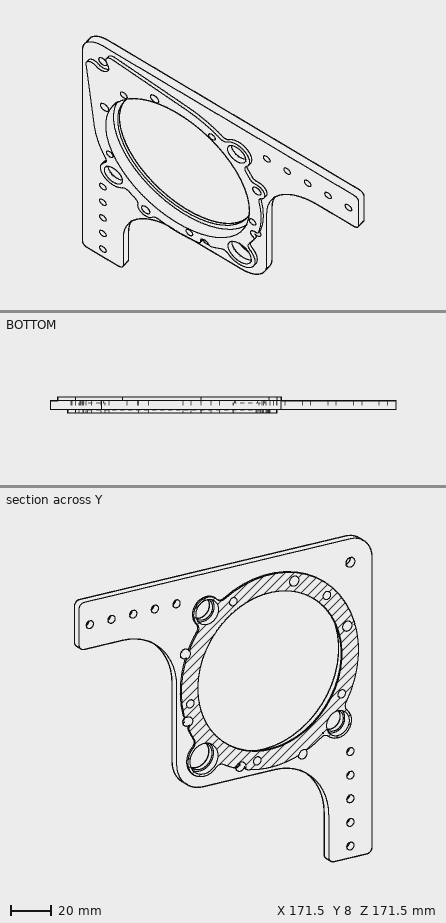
import cadquery as cq
import math


ARM_LENGTH = 171.5
TOTAL_THICKNESS = 8.0
PLATE_THICKNESS = 4.5
PAD_HEIGHT = (TOTAL_THICKNESS - PLATE_THICKNESS) / 2
ARM_WIDTH = 25.4
BODY_SIZE = 114.4
INNER_RADIUS = 31.5
TIP_RADIUS = 3.1
LUG_CORNER_RADIUS = 15.5

BORE_CENTER = 60.4
BORE_RADIUS = 42.0
COUNTERBORE_RADIUS = 44.5
BORE_LEDGE = 1.5

ROW_COUNT = 5
ROW_PITCH = ARM_WIDTH / 2
ROW_END_MARGIN = ROW_PITCH / 2
SMALL_HOLE_RADIUS = 2.0

RING_COUNT = 5
RING_RADIUS = 47.1
RING_START_ANGLE = 135.0

SCREW_RADIUS = 2.5
CORNER_SCREW = (ARM_WIDTH / 2, -ARM_WIDTH / 2)
SIDE_SCREW = (46.1, -15.1)
LUG_SCREW = (109.5, -40.6)
RIM_SCREW = (108.2, -77.2)
DOWEL_RADIUS = 5.7
DOWEL = (97.0, -20.5)
PIVOT_RADIUS = 7.2
PIVOT = (BODY_SIZE - LUG_CORNER_RADIUS, LUG_CORNER_RADIUS - BODY_SIZE)
NARROW_DEPTH = 3.1
REAR_WIDENING = 0.9

DISC_RADIUS = 52.0
LUG_WALL = 2.4
LUG_BLEND = 3.5
RELIEF_BLEND = 1.7
CORNER_RELIEF_RADIUS = SCREW_RADIUS + LUG_WALL
HORN_RADIUS = 3.8
HORN_ANGLE = 37.5


def round_at(point, radius):
    return (point[0], point[1], radius)


def mirrored(item):
    """Mirror a point or a round across the symmetry line z = -x."""
    return (-item[1], -item[0]) + tuple(item[2:])


def common_tangent(first, second):
    """Points where the outline leaves the first round and enters the second."""
    dx = second[0] - first[0]
    dz = second[1] - first[1]
    cosine = (first[2] - second[2]) / math.hypot(dx, dz)
    angle = math.atan2(dz, dx) + math.acos(max(-1.0, min(1.0, cosine)))
    return [(x + r * math.cos(angle), z + r * math.sin(angle)) for x, z, r in (first, second)]


def arc_middle(circle, start, end):
    """Middle of the outline's arc on a round, clockwise on bulges and counterclockwise on hollows."""
    x, z, r = circle
    start_angle = math.atan2(start[1] - z, start[0] - x)
    end_angle = math.atan2(end[1] - z, end[0] - x)
    turn = math.copysign(1.0, -r)
    sweep = (turn * (end_angle - start_angle)) % (2 * math.pi)
    angle = start_angle + turn * sweep / 2
    return (x + abs(r) * math.cos(angle), z + abs(r) * math.sin(angle))


def outline_prism(rounds, front_y, depth):
    """Solid with the outline of the rounds, from front_y backward by depth."""
    touching = 1.71e-06
    followers = rounds[1:] + rounds[:1]
    joints = [common_tangent(a, b) for a, b in zip(rounds, followers)]
    point = joints[-1][1]
    sketch = cq.Workplane("XZ", origin=(0, front_y, 0)).moveTo(*point)
    for circle, (leave, enter) in zip(rounds, joints):
        sketch = sketch.threePointArc(arc_middle(circle, point, leave), leave)
        if math.dist(leave, enter) > touching:
            sketch = sketch.lineTo(*enter)
        point = enter
    return sketch.close().extrude(-depth)


def blend(first, second, radius):
    """Round of the given signed radius that touches two rounds on the outer side of the step."""
    dx = second[0] - first[0]
    dz = second[1] - first[1]
    gap = math.hypot(dx, dz)
    reach = abs(first[2] - radius)
    other_reach = abs(second[2] - radius)
    turn = math.acos((gap**2 + reach**2 - other_reach**2) / (2 * gap * reach))
    angle = math.atan2(dz, dx) + turn
    return (first[0] + reach * math.cos(angle), first[1] + reach * math.sin(angle), radius)


DISC = (BORE_CENTER, -BORE_CENTER, DISC_RADIUS)
DOWEL_LUG = round_at(DOWEL, DOWEL_RADIUS + LUG_WALL)
RIM_RELIEF = round_at(RIM_SCREW, -SCREW_RADIUS)


def rim_feature(feature):
    """Rounds that lead from the disc around a lug or a hole relief and back onto the disc."""
    radius = -LUG_BLEND if feature[2] > 0 else RELIEF_BLEND
    return [blend(DISC, feature, radius), feature, blend(feature, DISC, radius), DISC]


def rim(half_features):
    """Rounds along the disc's rim: features down one side, the pivot lug, then the mirrored side."""
    pivot_lug = round_at(PIVOT, PIVOT_RADIUS + LUG_WALL)
    others = [mirrored(feature) for feature in reversed(half_features)]
    rounds = []
    for feature in half_features + [pivot_lug] + others:
        rounds += rim_feature(feature)
    return rounds


def plate():
    half_width = ARM_WIDTH / 2
    hollow = (BODY_SIZE + INNER_RADIUS, -ARM_WIDTH - INNER_RADIUS, -INNER_RADIUS)
    arm = [
        (ARM_LENGTH - TIP_RADIUS, -TIP_RADIUS, TIP_RADIUS),
        (ARM_LENGTH - TIP_RADIUS, TIP_RADIUS - ARM_WIDTH, TIP_RADIUS),
        hollow,
    ]
    outer_corner = (half_width, -half_width, half_width)
    pivot_corner = round_at(PIVOT, LUG_CORNER_RADIUS)
    other_arm = [mirrored(circle) for circle in reversed(arm)]
    return outline_prism([outer_corner] + arm + [pivot_corner] + other_arm, 0, PLATE_THICKNESS)


def front_pad():
    """Disc with two horns that reach toward the outer corner and pass around its screw hole."""
    reach = CORNER_RELIEF_RADIUS + HORN_RADIUS
    angle = math.radians(HORN_ANGLE)
    horn = (
        CORNER_SCREW[0] + reach * math.cos(angle),
        CORNER_SCREW[1] + reach * math.sin(angle),
        HORN_RADIUS,
    )
    screw_lug = round_at(LUG_SCREW, SCREW_RADIUS + LUG_WALL)
    corner_relief = round_at(CORNER_SCREW, -CORNER_RELIEF_RADIUS)
    rounds = [horn, DISC] + rim([DOWEL_LUG, screw_lug, RIM_RELIEF]) + [mirrored(horn), corner_relief]
    return outline_prism(rounds, -PAD_HEIGHT, PAD_HEIGHT)


def back_pad():
    lug_screw_relief = round_at(LUG_SCREW, -SCREW_RADIUS)
    rounds = rim([DOWEL_LUG, lug_screw_relief, RIM_RELIEF])
    return outline_prism(rounds, PLATE_THICKNESS, PAD_HEIGHT)


def drill(points, radius, start=0.0, end=TOTAL_THICKNESS):
    """Round cutters between two depths measured from the front of the front pad."""
    plane = cq.Workplane("XZ", origin=(0, start - PAD_HEIGHT, 0))
    return plane.pushPoints(points).circle(radius).extrude(start - end)


def stepped_holes(points, radius):
    """Through cutters that widen toward the back."""
    wide_end = drill(points, radius + REAR_WIDENING, start=NARROW_DEPTH)
    return drill(points, radius).union(wide_end)


def row_points():
    first = ARM_LENGTH - ROW_END_MARGIN - (ROW_COUNT - 1) * ROW_PITCH
    return [(first + i * ROW_PITCH, -ARM_WIDTH / 2) for i in range(ROW_COUNT)]


def ring_points():
    angles = [math.radians(RING_START_ANGLE + i * 360 / RING_COUNT) for i in range(RING_COUNT)]
    return [
        (BORE_CENTER + RING_RADIUS * math.cos(a), -BORE_CENTER + RING_RADIUS * math.sin(a)) for a in angles
    ]


def with_mirror(points):
    return points + [mirrored(point) for point in points]


bore_center = [(BORE_CENTER, -BORE_CENTER)]
result = plate().union(front_pad()).union(back_pad())
result = result.cut(drill(bore_center, BORE_RADIUS))
result = result.cut(drill(bore_center, COUNTERBORE_RADIUS, end=TOTAL_THICKNESS - BORE_LEDGE))
result = result.cut(drill(with_mirror(row_points()) + ring_points(), SMALL_HOLE_RADIUS))
result = result.cut(drill([CORNER_SCREW] + with_mirror([SIDE_SCREW, LUG_SCREW, RIM_SCREW]), SCREW_RADIUS))
result = result.cut(stepped_holes(with_mirror([DOWEL]), DOWEL_RADIUS))
result = result.cut(stepped_holes([PIVOT], PIVOT_RADIUS))